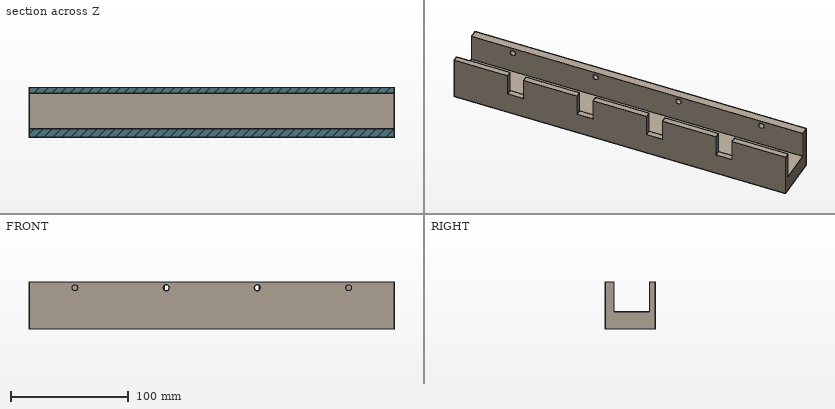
import cadquery as cq

length = 310.0
width = 42.5
height = 40.0
floor_thickness = 15.0
front_wall = 7.5
back_wall = 5.0

notch_count = 4
notch_width = 15.0
notch_depth = 19.8
tab_count = notch_count + 1
tab_length = (length - notch_count * notch_width) / tab_count
notch_pitch = tab_length + notch_width

hole_count = 4
hole_diameter = 5.0
hole_drop = 5.0
hole_pitch = length / hole_count


def corner_box(size_x, size_y, size_z, x, y, z):
    """Box with its lowest corner at (x, y, z)."""
    return cq.Workplane("XY").box(size_x, size_y, size_z, centered=False).translate((x, y, z))


def make_channel():
    """U-shaped channel running along X, open at the top and both ends."""
    body = corner_box(length, width, height, 0, 0, 0)
    trough_width = width - front_wall - back_wall
    trough_depth = height - floor_thickness
    trough = corner_box(length, trough_width, trough_depth, 0, front_wall, floor_thickness)
    return body.cut(trough)


def cut_notches(body):
    """Open the back wall from the top between neighbouring tabs."""
    for i in range(notch_count):
        x = tab_length + i * notch_pitch
        notch = corner_box(notch_width, back_wall, notch_depth, x, width - back_wall, height - notch_depth)
        body = body.cut(notch)
    return body


def drill_holes(body):
    """Drill evenly spaced holes through the front wall only."""
    for i in range(hole_count):
        x = (i + 0.5) * hole_pitch
        center = cq.Vector(x, 0, height - hole_drop)
        hole = cq.Solid.makeCylinder(hole_diameter / 2, front_wall, center, cq.Vector(0, 1, 0))
        body = body.cut(cq.Workplane(obj=hole))
    return body


result = drill_holes(cut_notches(make_channel()))